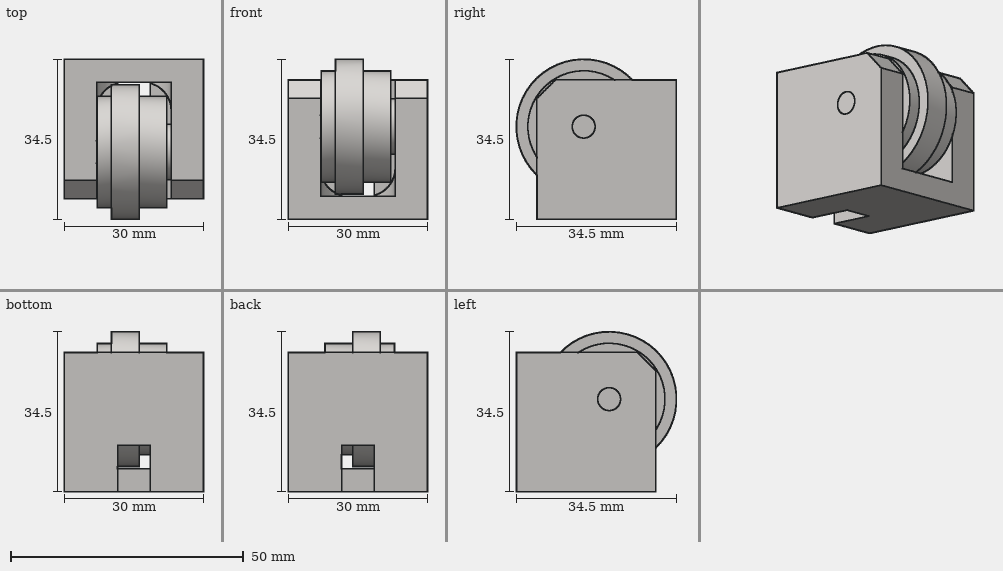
import cadquery as cq

CUBE = 30.0
WALL = 5.0
CHAMFER = 4.0
SLOT_WIDTH = 16.02
SLOT_CORNER_RADIUS = 6.0
SLOT_LEFT = (CUBE - SLOT_WIDTH) / 2
SLOT_RIGHT = SLOT_LEFT + SLOT_WIDTH
REAR_FACE = CUBE - WALL
WINDOW_WIDTH = 7.0
WINDOW_REACH = 5.0

FLANGE_DIAMETER = 29.0
OVERALL = 34.45
AXLE_Z = OVERALL - FLANGE_DIAMETER / 2
AXLE_Y = CUBE - AXLE_Z
AXLE_DIAMETER = 4.93

ROLLER_DIAMETER = 24.0
ROLLER_LENGTH = 15.0
ROLLER_GAP = 0.1
ROLLER_LEFT = SLOT_LEFT + ROLLER_GAP
ROLLER_RIGHT = ROLLER_LEFT + ROLLER_LENGTH
FLANGE_OFFSET = 3.05
FLANGE_WIDTH = 6.0
WASHER_DIAMETER = 12.0


def cylinder_on_axle(diameter, x_start, x_end):
    """Solid cylinder on the axle line between two X positions."""
    return (
        cq.Workplane("YZ", origin=(x_start, AXLE_Y, AXLE_Z))
        .circle(diameter / 2)
        .extrude(x_end - x_start)
    )


def box_between(low, high):
    """Axis-aligned box given by two opposite corners."""
    size = [end - start for start, end in zip(low, high)]
    return cq.Workplane("XY").box(*size, centered=False).translate(low)


def make_slot():
    """Slot open at the top and front, cut from both sides with a rounded tool."""
    slot = box_between((SLOT_LEFT, 0, WALL), (SLOT_RIGHT, REAR_FACE, CUBE))
    from_top = slot.edges("|Z and >Y").fillet(SLOT_CORNER_RADIUS)
    from_front = slot.edges("|Y and <Z").fillet(SLOT_CORNER_RADIUS)
    return from_top.union(from_front)


def make_window():
    """Opening through the floor and the rear wall, across their common corner."""
    middle = CUBE / 2
    return box_between(
        (middle - WINDOW_WIDTH / 2, REAR_FACE - WINDOW_REACH, 0),
        (middle + WINDOW_WIDTH / 2, CUBE, WALL + WINDOW_REACH),
    )


def make_housing():
    cube = box_between((0, 0, 0), (CUBE, CUBE, CUBE))
    body = cube.edges("|X and <Y and >Z").chamfer(CHAMFER)
    body = body.cut(make_slot()).cut(make_window())
    return body.cut(cylinder_on_axle(AXLE_DIAMETER, 0, CUBE))


def make_axle():
    return cylinder_on_axle(AXLE_DIAMETER, 0, CUBE)


def make_roller():
    flange_left = ROLLER_LEFT + FLANGE_OFFSET
    body = cylinder_on_axle(ROLLER_DIAMETER, ROLLER_LEFT, ROLLER_RIGHT)
    flange = cylinder_on_axle(FLANGE_DIAMETER, flange_left, flange_left + FLANGE_WIDTH)
    bore = cylinder_on_axle(AXLE_DIAMETER, ROLLER_LEFT, ROLLER_RIGHT)
    return body.union(flange).cut(bore)


def make_washer():
    disc = cylinder_on_axle(WASHER_DIAMETER, ROLLER_RIGHT, SLOT_RIGHT)
    return disc.cut(cylinder_on_axle(AXLE_DIAMETER, ROLLER_RIGHT, SLOT_RIGHT))


housing = make_housing()
axle = make_axle()
roller = make_roller()
washer = make_washer()

result = cq.Compound.makeCompound([housing.val(), axle.val(), roller.val(), washer.val()])